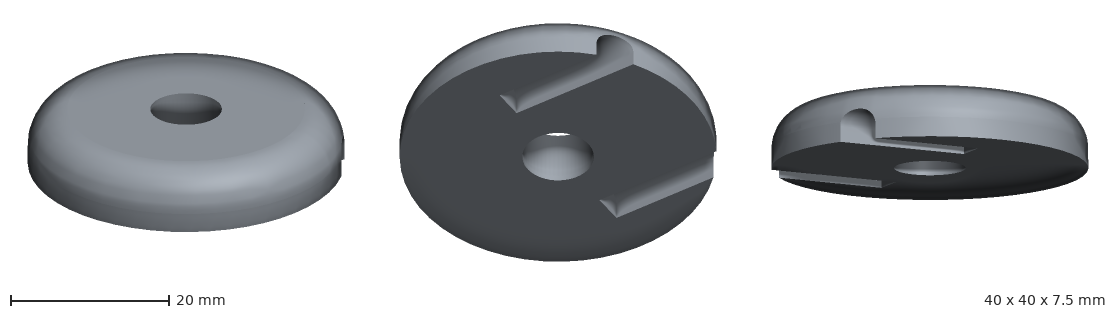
import cadquery as cq

outer_radius = 20.0
height = 7.5
rim_round = 5.0
bore_radius = 4.5

cap_seat_height = 4.6
cap_radius = outer_radius - rim_round
cap_thickness = height - cap_seat_height

channel_offset = 11.8
channel_radius = 2.0
channel_spring_height = 2.05
channel_end_y = 0.0


def make_cylinder(radius, length, base_height=0.0):
    """Upright cylinder on the Z axis."""
    return cq.Workplane("XY", origin=(0, 0, base_height)).circle(radius).extrude(length)


def make_channel(center_x):
    """Cutter for one channel, open at the bottom and at the +Y rim, with an arched roof."""
    left = center_x - channel_radius
    right = center_x + channel_radius
    return (
        cq.Workplane("XZ", origin=(0, channel_end_y, 0))
        .moveTo(left, 0)
        .lineTo(left, channel_spring_height)
        .threePointArc(
            (center_x, channel_spring_height + channel_radius),
            (right, channel_spring_height),
        )
        .lineTo(right, 0)
        .close()
        .extrude(channel_end_y - outer_radius)
    )


def make_housing():
    """Round-shouldered disc with a bore, a cap recess and two channels."""
    body = make_cylinder(outer_radius, height).faces(">Z").edges().fillet(rim_round)
    body = body.cut(make_cylinder(bore_radius, height))
    body = body.cut(make_cylinder(cap_radius, cap_thickness, cap_seat_height))
    for side in (-1, 1):
        body = body.cut(make_channel(side * channel_offset))
    return body


def make_cap():
    """Flat disc that fills the recess and continues the bore."""
    disc = make_cylinder(cap_radius, cap_thickness, cap_seat_height)
    return disc.cut(make_cylinder(bore_radius, height))


housing = make_housing()
cap = make_cap()

result = cq.Compound.makeCompound([housing.val(), cap.val()])